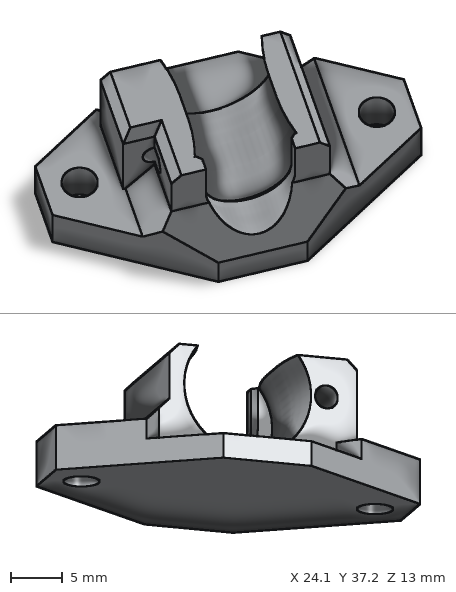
import cadquery as cq
import math

length = 37.2
width = 24.1
height = 13.0
plate_top = 4.5
side_flat_half = 4.5
end_flat_half = 3.0
mount_hole_offset = 15.0
mount_hole_diameter = 3.5

housing_left = -6.0
housing_right = 7.77
housing_half_width = 8.0
skirt_top = 7.35
skirt_run = 2.95
skirt_foot = housing_half_width + skirt_run
skirt_base_run = skirt_top * skirt_run / (skirt_top - plate_top)
top_chamfer = 1.0

block_front = -11.15
block_right = 1.95

recess_floor = 2.5
recess_corner = 1.85

axis_z = 9.0
seat_end_radius = 6.47
seat_mid_radius = 6.0
seat_mid_half = 1.5
seat_half_length = -housing_left
slot_radius = axis_z - plate_top
slot_chamfer = 0.52

pin_y = -8.05
pin_radius = 1.15
pin_end = 3.4
drill_half_angle = math.radians(59)


def box(x0, x1, y0, y1, z0, z1):
    """Box between opposite corners."""
    return cq.Workplane("XY").box(x1 - x0, y1 - y0, z1 - z0, centered=False).translate((x0, y0, z0))


def outline(depth):
    """Eight-sided plate outline extruded up from the base."""
    x, y = width / 2, length / 2
    points = [
        (x, -side_flat_half), (x, side_flat_half), (end_flat_half, y), (-end_flat_half, y),
        (-x, side_flat_half), (-x, -side_flat_half), (-end_flat_half, -y), (end_flat_half, -y),
    ]
    return cq.Workplane("XY").polyline(points).close().extrude(depth)


def slope_x():
    """Full-length bar whose +X side falls away at the skirt slope."""
    return (
        cq.Workplane("XZ")
        .polyline([
            (-width, 0), (housing_right + skirt_base_run, 0), (housing_right, skirt_top), (-width, skirt_top),
        ])
        .close()
        .extrude(length, both=True)
    )


def skirt():
    """Slopes falling from the housing on +X and +Y, and on -Y only beyond the block."""
    y = housing_half_width + skirt_base_run
    slope_y = (
        cq.Workplane("YZ")
        .polyline([(-y, 0), (y, 0), (housing_half_width, skirt_top), (-housing_half_width, skirt_top)])
        .close()
        .extrude(width, both=True)
    )
    block_side = box(-width, block_right, -length, 0, 0, height)
    return slope_y.intersect(slope_x()).cut(block_side)


def base():
    """Plate and skirt, with the +X slope running down into the plate edge."""
    return outline(plate_top).intersect(slope_x()).union(outline(skirt_top).intersect(skirt()))


def housing():
    body = box(housing_left, housing_right, -housing_half_width, housing_half_width, recess_floor, height)
    return body.faces(">Z").edges("|X").chamfer(top_chamfer)


def clamp_block():
    block = box(housing_left, block_right, block_front, 0, plate_top, height)
    return block.faces(">Z").edges("<Y or >X").chamfer(top_chamfer)


def recess():
    """Lowered floor with 45 degree vertical corner walls."""
    wall_half = skirt_foot - recess_corner
    flare = width
    x = housing_left
    points = [
        (x, -wall_half), (x, wall_half),
        (x - flare, wall_half + flare), (x - flare, -wall_half - flare),
    ]
    return cq.Workplane("XY").workplane(offset=recess_floor).polyline(points).close().extrude(height)


def seat():
    """Barrel revolved about the seat axis: a short cylinder with tangent flared ends."""
    run = seat_half_length - seat_mid_half
    rise = seat_end_radius - seat_mid_radius
    flare_radius = (run**2 + rise**2) / (2 * rise)
    half_angle = math.asin(run / flare_radius) / 2
    arc_x = seat_mid_half + flare_radius * math.sin(half_angle)
    arc_r = seat_mid_radius + flare_radius * (1 - math.cos(half_angle))
    profile = (
        cq.Workplane("XZ")
        .moveTo(-seat_half_length, 0)
        .lineTo(-seat_half_length, seat_end_radius)
        .threePointArc((-arc_x, arc_r), (-seat_mid_half, seat_mid_radius))
        .lineTo(seat_mid_half, seat_mid_radius)
        .threePointArc((arc_x, arc_r), (seat_half_length, seat_end_radius))
        .lineTo(seat_half_length, 0)
        .close()
    )
    return profile.revolve(360, (0, 0, 0), (1, 0, 0)).translate((0, 0, axis_z))


def draw_slot(plane, radius):
    """Draw a round-bottomed slot section, open at the top of the housing."""
    return (
        plane
        .moveTo(-radius, height - axis_z)
        .lineTo(-radius, 0)
        .threePointArc((0, -radius), (radius, 0))
        .lineTo(radius, height - axis_z)
        .close()
    )


def slot():
    """U slot out through +X, chamfered where it leaves the seat."""
    start = cq.Workplane("YZ", origin=(seat_half_length, 0, axis_z))
    mouth = draw_slot(start, slot_radius + slot_chamfer)
    chamfer = draw_slot(mouth.workplane(offset=slot_chamfer), slot_radius).loft(ruled=True)
    channel = draw_slot(start.workplane(offset=slot_chamfer), slot_radius).extrude(width)
    return chamfer.union(channel)


def pin_hole():
    """Blind hole along X with a conical drill point."""
    tip = pin_end + pin_radius / math.tan(drill_half_angle)
    return (
        cq.Workplane("XY")
        .polyline([(housing_left, 0), (housing_left, pin_radius), (pin_end, pin_radius), (tip, 0)])
        .close()
        .revolve(360, (0, 0, 0), (1, 0, 0))
        .translate((0, pin_y, axis_z))
    )


def mount_holes():
    return (
        cq.Workplane("XY")
        .pushPoints([(0, -mount_hole_offset), (0, mount_hole_offset)])
        .circle(mount_hole_diameter / 2)
        .extrude(plate_top)
    )


result = base().union(housing()).union(clamp_block())
for cutter in (recess(), seat(), slot(), pin_hole(), mount_holes()):
    result = result.cut(cutter)